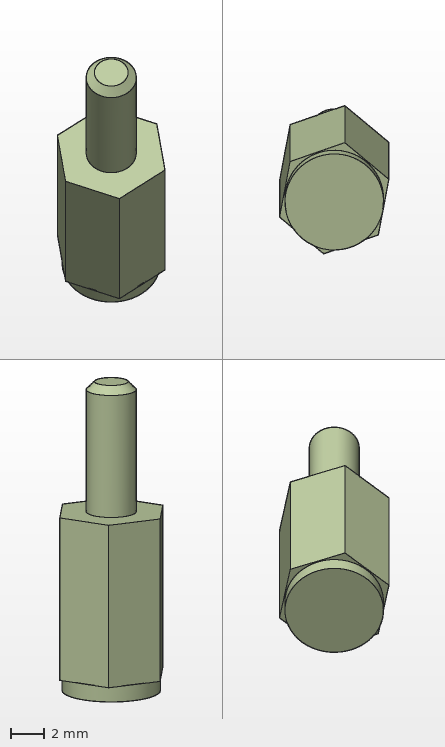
import cadquery as cq
import math

total_height = 19.0
hex_across_flats = 6.0
hex_height = 10.0
collar_diameter = 5.89
collar_height = 1.0
stud_diameter = 3.0
stud_chamfer = 0.5

hex_across_corners = hex_across_flats / math.cos(math.radians(30))
stud_base = collar_height + hex_height
stud_height = total_height - stud_base


def make_collar():
    """Round collar below the hexagonal body."""
    return cq.Workplane("XY").circle(collar_diameter / 2).extrude(collar_height)


def make_hex_body():
    """Hexagonal body with two corners on the Y axis."""
    body = cq.Workplane("XY").polygon(6, hex_across_corners).extrude(hex_height)
    return body.rotate((0, 0, 0), (0, 0, 1), 30).translate((0, 0, collar_height))


def make_stud():
    """Plain stud with a chamfered tip."""
    stud = cq.Workplane("XY").circle(stud_diameter / 2).extrude(stud_height)
    return stud.faces(">Z").chamfer(stud_chamfer).translate((0, 0, stud_base))


result = make_collar().union(make_hex_body()).union(make_stud())